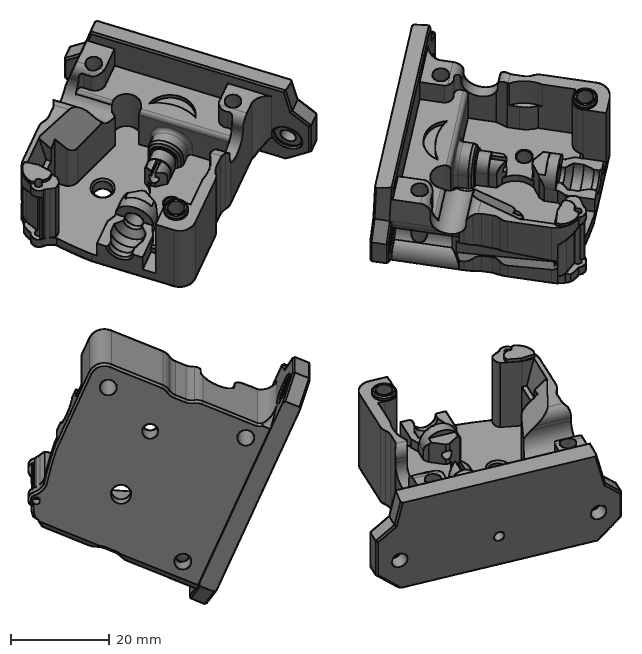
import cadquery as cq
import math

WALL_TOP = 19.6
PAD_TOP = 20.4
PLATE_TOP = 22.62
FLOOR = 3.0
RAISED_FLOOR = 4.9
SHELF = 13.9
AXIS_Z = 7.2
TALL = 30.0

PLATE_HALF_X = 53.59 / 2
PLATE_BACK = 26.12
PLATE_FRONT = 22.27
PLATE_CHAMFER = 0.38
BODY_OVERLAP = 0.4
PLATE_TOP_SLOPE = 0.22
PLATE_HOLE_X = 21.7
SCREW_D = 3.4
PLATE_SEAT_D = 6.0
PLATE_SEAT_DEPTH = 0.6
PLATE_SEAT_CHAMFER = 0.35

LEFT_X = -23.24
RIGHT_X = 15.12
FRONT_Y = -16.42
FRONT_LOW_Y = -15.2
WAIST_DEPTH = 1.0
WAIST_REAR = (7.3, 3.9)
WAIST_FRONT = (1.65, -1.6)
CORNER_R = 3.4
WALL_INNER_X = 12.66
BOTTOM_CHAMFER = 0.5
BEVEL_Z = 1.3
SHELF_FRONT = 13.0
SHELF_LEFT_X = -20.75
SHELF_EDGE_R = 1.0

SADDLE_Y = 10.62
SADDLE_R = 3.74
SADDLE_Z = 16.46
SADDLE_LIP_R = 2.25

PIN_X = -18.07
PIN_Y = -15.28
PIN_D = 1.5
PIN_BOSS_R = 43.08 - PLATE_BACK + PIN_Y
EAR_SIDE_Y = -12.0
EAR_SIDE_Z = 13.8
EAR_FOOT_X = -21.66
EAR_FRONT_Z = 17.5

LARGE_HOLE_X = -9.95
LARGE_HOLE_D = 4.1
LARGE_HOLE_RIM_D = 4.95
LARGE_HOLE_RIM_DEPTH = 0.45
SMALL_HOLE_X = 5.0
SMALL_HOLE_D = 3.2
SMALL_HOLE_CHAMFER = 0.15
FLOOR_STEP_R = 5.05
CLEARANCE_R = 8.0
CLEARANCE_Z = 12.3
PEG_Y = 13.64
PEG_D = 6.0
LEFT_SCREW = (-18.46, 17.33)
RIGHT_SCREW = (11.4, 18.4)
PILLAR_HOLE = (10.4, -11.6)
PILLAR_RIM_D = 4.95
PILLAR_RIM_TOP = 20.5
PILLAR_LEFT_X = 7.77

BORE_D = 2.2
BLOCK_TOP = 7.1
BLOCK_HALF_X = 4.97
FLANGE_FRONT = -8.1


def prism(workplane, bottom, top):
    """Extrude a closed XY outline between two heights."""
    return workplane.extrude(top - bottom).translate((0, 0, bottom))


def rod_z(x, y, diameter, bottom, top):
    return cq.Workplane("XY", origin=(x, y, bottom)).circle(diameter / 2).extrude(top - bottom)


def rod_y(x, z, diameter, front, back):
    return cq.Workplane("XZ", origin=(x, back, z)).circle(diameter / 2).extrude(back - front)


def box(x0, x1, y0, y1, z0, z1):
    return cq.Workplane("XY").box(x1 - x0, y1 - y0, z1 - z0, centered=False).translate((x0, y0, z0))


def cone_z(x, y, bottom_r, top_r, bottom, top):
    cone = cq.Solid.makeCone(bottom_r, top_r, top - bottom, cq.Vector(x, y, bottom))
    return cq.Workplane("XY").add(cone)


def turned_y(profile):
    """Revolve a (radius, y) profile about the lengthwise axis."""
    start_y = profile[0][1]
    end_y = profile[-1][1]
    points = [(0, start_y)] + profile + [(0, end_y)]
    return cq.Workplane("XY").polyline(points).close().revolve(360, (0, 0), (0, 1)).translate((0, 0, AXIS_Z))


def turned_on_skirt(profile):
    """Turned shape whose plan silhouette is carried straight down into the floor."""
    mirrored = [(-radius, y) for radius, y in reversed(profile)]
    skirt = prism(cq.Workplane("XY").polyline(profile + mirrored).close(), FLOOR - 1, AXIS_Z)
    return turned_y(profile).union(skirt)


def make_plate():
    outline = [
        (-21.94, 0), (-PLATE_HALF_X, 4.55), (-PLATE_HALF_X, 10.83), (-23.24, 14.09),
        (-21.17, PLATE_TOP), (21.24, PLATE_TOP), (22.68, 16.35), (PLATE_HALF_X, 13.36),
        (PLATE_HALF_X, 4.55), (21.87, 0),
    ]
    plate = cq.Workplane("XZ", origin=(0, PLATE_BACK, 0)).polyline(outline).close()
    plate = plate.extrude(PLATE_BACK - PLATE_FRONT)
    plate = plate.faces("<Y or >Y").edges("not <Z").chamfer(PLATE_CHAMFER)
    drop = (PLATE_BACK - PLATE_FRONT - PLATE_CHAMFER) * PLATE_TOP_SLOPE
    top_wedge = cq.Workplane("YZ").polyline([
        (PLATE_FRONT + PLATE_CHAMFER, PLATE_TOP), (PLATE_BACK, PLATE_TOP - drop), (PLATE_BACK, TALL),
        (PLATE_FRONT + PLATE_CHAMFER, TALL),
    ]).close().extrude(PLATE_HALF_X, both=True)
    return plate.cut(top_wedge)


def waist_curve(outline, start_x, end_x, span):
    """S-shaped pair of arcs between the wall and its waist."""
    start_y, end_y = span
    middle = ((start_x + end_x) / 2, (start_y + end_y) / 2)
    step_x = (end_x - start_x) / 8
    step_y = (end_y - start_y) / 4
    return (
        outline.lineTo(start_x, start_y)
        .threePointArc((start_x + step_x, start_y + step_y), middle)
        .threePointArc((end_x - step_x, end_y - step_y), (end_x, end_y))
    )


def body_outline():
    waist_left = LEFT_X + WAIST_DEPTH
    waist_right = RIGHT_X - WAIST_DEPTH
    corner = CORNER_R * (1 - math.sqrt(0.5))
    outline = cq.Workplane("XY").moveTo(LEFT_X, PLATE_FRONT + BODY_OVERLAP)
    outline = waist_curve(outline, LEFT_X, waist_left, WAIST_REAR)
    outline = waist_curve(outline, waist_left, LEFT_X, WAIST_FRONT)
    outline = (
        outline.lineTo(LEFT_X, -10.7)
        .threePointArc((-22.1, -13.9), (-19.6, -15.75))
        .threePointArc((PIN_X, PIN_Y - PIN_BOSS_R), (-16.9, -16.57))
        .threePointArc((-15.5, -15.55), (-14.14, FRONT_LOW_Y))
        .threePointArc((-9.6, -16.0), (-6.05, FRONT_Y))
        .lineTo(RIGHT_X - CORNER_R, FRONT_Y)
        .threePointArc((RIGHT_X - corner, FRONT_Y + corner), (RIGHT_X, FRONT_Y + CORNER_R))
    )
    outline = waist_curve(outline, RIGHT_X, waist_right, WAIST_FRONT[::-1])
    outline = waist_curve(outline, waist_right, RIGHT_X, WAIST_REAR[::-1])
    return (
        outline.lineTo(RIGHT_X, 19.3)
        .threePointArc((16.05, 21.15), (18.2, PLATE_FRONT))
        .lineTo(18.2, PLATE_FRONT + BODY_OVERLAP)
        .close()
    )


def main_pocket():
    """Pocket in front of the shelf, open to the front between ear and right wall."""
    return prism(
        cq.Workplane("XY").moveTo(WALL_INNER_X, SHELF_FRONT)
        .lineTo(WALL_INNER_X, 7.2).lineTo(11.74, 4.7).lineTo(11.74, 2.3)
        .threePointArc((12.0, 0.2), (WALL_INNER_X, -1.5))
        .lineTo(WALL_INNER_X, FRONT_Y - 2).lineTo(-16.6, FRONT_Y - 2).lineTo(-16.6, -16.2)
        .lineTo(-14.5, -14.95)
        .threePointArc((-14.35, -13.7), (-15.2, -12.3))
        .lineTo(-19.5, -11.2).lineTo(-19.5, -2.2).lineTo(-17.0, -2.1)
        .threePointArc((-16.0, -1.6), (-15.2, -0.35))
        .lineTo(-11.4, 11.1).lineTo(-11.4, SHELF_FRONT).close(),
        FLOOR, TALL)


def shelf_pocket():
    """Space above the shelf, going round the two rear screw posts."""
    return prism(
        cq.Workplane("XY").moveTo(SHELF_LEFT_X, SHELF_FRONT)
        .lineTo(SHELF_LEFT_X, 14.0)
        .threePointArc((-20.4, 14.6), (-19.6, 14.75))
        .lineTo(-18.1, 14.75)
        .threePointArc((-16.5, 15.4), (-15.8, 16.9))
        .lineTo(-15.8, PLATE_FRONT).lineTo(8.8, PLATE_FRONT).lineTo(8.8, 17.2)
        .threePointArc((9.6, 16.0), (11.2, 15.65))
        .threePointArc((12.25, 15.4), (WALL_INNER_X, 14.7))
        .lineTo(WALL_INNER_X, SHELF_FRONT).close(),
        SHELF, TALL)


def shelf_edge_round():
    """Material outside the rounded front edge of the shelf."""
    bend = SHELF_EDGE_R * (1 - math.sqrt(0.5))
    return (
        cq.Workplane("YZ", origin=(SHELF_LEFT_X, 0, 0)).moveTo(SHELF_FRONT, SHELF - SHELF_EDGE_R)
        .threePointArc((SHELF_FRONT + bend, SHELF - bend), (SHELF_FRONT + SHELF_EDGE_R, SHELF))
        .lineTo(SHELF_FRONT, SHELF).close()
        .extrude(WALL_INNER_X - SHELF_LEFT_X)
    )


def saddle():
    """Round-bottomed trough with rounded lips, along X through both walls."""
    front = SADDLE_Y - SADDLE_R
    back = SADDLE_Y + SADDLE_R
    lip_z = WALL_TOP - SADDLE_LIP_R
    bend = SADDLE_LIP_R * (1 - math.sqrt(0.5))
    return (
        cq.Workplane("YZ").moveTo(front - SADDLE_LIP_R, WALL_TOP)
        .threePointArc((front - bend, WALL_TOP - bend), (front, lip_z))
        .lineTo(front, SADDLE_Z)
        .threePointArc((SADDLE_Y, SADDLE_Z - SADDLE_R), (back, SADDLE_Z))
        .lineTo(back, lip_z)
        .threePointArc((back + bend, WALL_TOP - bend), (back + SADDLE_LIP_R, WALL_TOP))
        .close().extrude(TALL, both=True)
        .cut(box(LARGE_HOLE_X, WALL_INNER_X, SHELF_FRONT, back, 0, TALL))
    )


def left_wall_slope():
    """Sloping cut that lowers the inner edge of the left wall."""
    lower_z = 14.0
    angle = math.degrees(math.atan2(7.95, 3.0)) - 90
    width = 6.0
    wedge = cq.Workplane("XZ").polyline([
        (0, WALL_TOP), (width, lower_z), (width + 2, lower_z), (width + 2, WALL_TOP),
    ]).close().extrude(9.5, both=True)
    window = box(-22.15, -11, -4.3, SADDLE_Y, 0, TALL)
    return wedge.rotate((0, 0, 0), (0, 0, 1), angle).translate((-19.0, 4.57, 0)).intersect(window)


def left_wall_notch():
    """Notch in the inner edge of the left wall behind the ear."""
    bottom = 13.0
    return cq.Workplane("XZ", origin=(0, -4.3, 0)).polyline([
        (-22.15, WALL_TOP), (-20.6, bottom), (-19.4, bottom), (-19.4, WALL_TOP),
    ]).close().extrude(6.9)


def left_edge_trims():
    """Bevel under the left wall, and the upper rear part leaning in with the plate edge."""
    bevel = cq.Workplane("XZ", origin=(0, PLATE_FRONT + BODY_OVERLAP, 0)).polyline([
        (LEFT_X - 1, BEVEL_Z + 1), (LEFT_X + BEVEL_Z + 1, -1), (LEFT_X - 1, -1),
    ]).close().extrude(PLATE_FRONT - FRONT_Y + 5)
    lean = cq.Workplane("XZ", origin=(0, PLATE_FRONT + BODY_OVERLAP, 0)).polyline([
        (LEFT_X, 14.3), (-21.9, WALL_TOP), (LEFT_X - 1, WALL_TOP), (LEFT_X - 1, 14.3),
    ]).close().extrude(PLATE_FRONT + BODY_OVERLAP - SADDLE_Y)
    return bevel.union(lean)


def right_edge_trim():
    """Slanted underside of the fillet between right wall and plate."""
    return cq.Workplane("XZ", origin=(0, PLATE_FRONT + BODY_OVERLAP, 0)).polyline([
        (RIGHT_X, 0), (18.3, 5.8), (19, 5.8), (19, -1), (RIGHT_X, -1),
    ]).close().extrude(5)


def side_channel():
    """Screw access in the left wall: a round bottom between rounded lips, then a tapering groove."""
    half_mouth = 5.9
    half_throat = 2.9
    lip_r = half_mouth - half_throat
    throat_x = LEFT_X + lip_r
    bend = lip_r * (1 - math.sqrt(0.5))
    end_y = 8.3
    flare = 2.0
    deep_x = -18.4
    channel = (
        cq.Workplane("XZ", origin=(0, PLATE_FRONT, 0))
        .moveTo(LEFT_X, AXIS_Z - half_mouth)
        .threePointArc((LEFT_X + bend, AXIS_Z - half_throat - bend), (throat_x, AXIS_Z - half_throat))
        .threePointArc((deep_x, AXIS_Z), (throat_x, AXIS_Z + half_throat))
        .threePointArc((LEFT_X + bend, AXIS_Z + half_throat + bend), (LEFT_X, AXIS_Z + half_mouth))
        .close().extrude(PLATE_FRONT - end_y + flare)
    )
    end_slope = prism(cq.Workplane("XY").polyline([
        (LEFT_X - lip_r, end_y - flare), (throat_x, end_y + flare), (deep_x, end_y + flare),
        (deep_x, end_y - flare),
    ]).close(), 0, TALL)
    groove_floor_x = -22.05
    groove = cq.Workplane("YZ", origin=(groove_floor_x, 0, 0)).polyline([
        (9.5, AXIS_Z - 1.9), (9.5, AXIS_Z + 1.9), (-11.1, AXIS_Z + 0.3), (-11.1, AXIS_Z - 0.3),
    ]).close().extrude(-2, taper=-45)
    return channel.cut(end_slope).union(groove)


def crescent():
    """Shallow crescent recess in the shelf."""
    depth = 1.0
    return prism(
        cq.Workplane("XY").moveTo(-5.8, 15.85)
        .threePointArc((-0.77, 19.7), (4.3, 15.85))
        .threePointArc((-0.77, 17.2), (-5.8, 15.85)).close(),
        SHELF - depth, SHELF)


def hinge_pad():
    """Raised pad on top of the ear."""
    return prism(
        cq.Workplane("XY").moveTo(-22.45, -11.5)
        .lineTo(-19.4, -11.25).lineTo(-16.6, -11.95)
        .threePointArc((-16.5, -13.5), (-17.4, -14.5))
        .lineTo(PIN_X, PIN_Y).lineTo(-19.6, -15.75)
        .threePointArc((-21.7, -14.4), (-22.6, -12.4)).close(),
        WALL_TOP, PAD_TOP)


def hinge_gap():
    """Space between the floor of the ear and its sloping upper lug."""
    front_y = FRONT_Y - 1
    back_y = EAR_SIDE_Y
    slope = (EAR_FRONT_Z - EAR_SIDE_Z) / 5.0
    front_z = EAR_SIDE_Z + slope * (back_y - front_y)
    side = cq.Workplane("YZ").polyline([
        (back_y, FLOOR), (front_y, FLOOR), (front_y, front_z), (back_y, EAR_SIDE_Z),
    ]).close().extrude(TALL, both=True)
    plan = prism(
        cq.Workplane("XY").moveTo(-24, EAR_SIDE_Y).lineTo(-22.75, EAR_SIDE_Y)
        .threePointArc((-22.2, -12.8), (-21.4, -13.5))
        .lineTo(PIN_X, PIN_Y + 0.4).lineTo(-17.4, PIN_Y).lineTo(-17.4, -16.5).lineTo(-15, -16.5)
        .lineTo(-15, front_y).lineTo(-24, front_y).close(),
        0, TALL)
    beside_foot = prism(
        cq.Workplane("XY").moveTo(-24, EAR_SIDE_Y).lineTo(-22.75, EAR_SIDE_Y)
        .threePointArc((-22.3, -12.7), (EAR_FOOT_X, -13.3))
        .lineTo(EAR_FOOT_X, front_y).lineTo(-24, front_y).close(),
        -1, FLOOR)
    return side.intersect(plan).union(beside_foot)


def raised_floor():
    """Higher floor on the right, bounded by a round step between boss and flange."""
    step_y = -11.65
    slab = box(-1.3, WALL_INNER_X, step_y, SHELF_FRONT, FLOOR, RAISED_FLOOR)
    slab = slab.edges("<Y and >Z").chamfer(0.5)
    return slab.cut(rod_z(-FLOOR_STEP_R, 0, 2 * FLOOR_STEP_R, 0, TALL))


def right_pillar():
    """Screw pillar in the front right corner with a chamfered locating rim."""
    x, y = PILLAR_HOLE
    pillar = box(PILLAR_LEFT_X, WALL_INNER_X, FRONT_Y, y, FLOOR, WALL_TOP)
    pillar = pillar.union(rod_z(x, y, 2 * (x - PILLAR_LEFT_X), FLOOR, WALL_TOP))
    pillar = pillar.union(box(x, WALL_INNER_X, y, y + 2.5, FLOOR, WALL_TOP))
    pillar = pillar.intersect(prism(body_outline(), 0, WALL_TOP))
    rim = rod_z(x, y, PILLAR_RIM_D, WALL_TOP, PILLAR_RIM_TOP).faces(">Z").edges().chamfer(0.35)
    return pillar.union(rim)


def boss_flare(boss_r):
    """Fillet where the rear boss and its skirt meet the shelf wall."""
    flare = 0.85
    bend = flare * (1 - math.sqrt(0.5))
    half_plan = (
        cq.Workplane("XY").moveTo(0, SHELF_FRONT).lineTo(boss_r + flare, SHELF_FRONT)
        .threePointArc((boss_r + bend, SHELF_FRONT - bend), (boss_r, SHELF_FRONT - flare))
        .lineTo(0, SHELF_FRONT - flare).close()
    )
    turned = half_plan.revolve(360, (0, 0), (0, 1)).translate((0, 0, AXIS_Z))
    side = prism(half_plan.toPending(), FLOOR - 1, AXIS_Z)
    return turned.union(side).union(side.mirror("YZ"))


def rear_boss():
    """Stepped boss on the shelf wall with a wedge tip split by a narrow slot."""
    boss_r = 3.78
    tip_r = 2.55
    steps = [
        (boss_r, SHELF_FRONT + 0.1), (boss_r, 10.0),
        (boss_r - 0.25, 9.35), (3.0, 9.0), (3.0, 8.75), (tip_r, 8.7),
        (tip_r, 6.1), (tip_r - 0.06, 6.0), (tip_r - 0.06, 2.75),
    ]
    wedge = prism(cq.Workplane("XY").polyline([
        (-6, 14), (-6, 4.4), (-tip_r, 4.4), (-0.45, 2.75), (0.45, 2.75), (tip_r, 4.4), (6, 4.4), (6, 14),
    ]).close(), 0, TALL)
    slot = box(-0.45, 0.45, 2, 6.0, AXIS_Z, AXIS_Z + 5)
    return turned_on_skirt(steps).union(boss_flare(boss_r)).intersect(wedge).cut(slot)


def front_block():
    """Bearing block at the front, with a round flange and a flat-topped tip behind it."""
    flange_r = 4.08
    flange_back = -5.75
    tip_y = -2.65
    tip_top = AXIS_Z + 2.87
    flange = turned_on_skirt([(flange_r, FLANGE_FRONT), (flange_r, flange_back)])
    tip_plan = prism(cq.Workplane("XY").polyline([
        (-flange_r, flange_back), (-3.4, -4.65), (-0.4, tip_y),
        (0.4, tip_y), (3.4, -4.65), (flange_r, flange_back),
    ]).close(), 0, tip_top)
    tip = turned_on_skirt([(flange_r, flange_back), (flange_r, tip_y)]).intersect(tip_plan)
    block = prism(cq.Workplane("XY").polyline([
        (-BLOCK_HALF_X, FRONT_Y), (-BLOCK_HALF_X, -10.4), (-flange_r, -8.6), (-flange_r, FLANGE_FRONT),
        (flange_r, FLANGE_FRONT), (flange_r, -8.6), (BLOCK_HALF_X, -10.4), (BLOCK_HALF_X, FRONT_Y),
    ]).close(), FLOOR, BLOCK_TOP)
    return flange.union(tip).union(block)


def bearing_seat():
    """Stepped round seat in the front block, narrowing to the bore."""
    return turned_y([
        (BORE_D / 2, -6.0), (2.0, FLANGE_FRONT), (2.0, -9.05), (3.43, -10.5), (3.43, -12.6),
        (2.55, -14.85), (2.55, -16.0), (3.0, FRONT_Y - 0.05),
    ])


def make_body():
    body = prism(body_outline(), BOTTOM_CHAMFER, WALL_TOP)
    foot = body_outline().extrude(-BOTTOM_CHAMFER, taper=45).translate((0, 0, BOTTOM_CHAMFER))
    body = body.union(foot)
    body = body.cut(main_pocket()).cut(shelf_pocket()).cut(saddle())
    clearance = rod_z(SMALL_HOLE_X, 0, 2 * CLEARANCE_R, CLEARANCE_Z, TALL)
    body = body.cut(clearance.intersect(box(11, 14, -3, 5.5, 0, TALL)))
    cutters = (
        shelf_edge_round(), left_wall_slope(), left_wall_notch(),
        left_edge_trims(), right_edge_trim(), side_channel(),
    )
    for cutter in cutters:
        body = body.cut(cutter)
    body = body.cut(crescent()).cut(rod_z(LARGE_HOLE_X, PEG_Y, PEG_D, FLOOR, TALL))
    body = body.union(hinge_pad()).cut(hinge_gap())
    for addition in (raised_floor(), right_pillar(), rear_boss(), front_block()):
        body = body.union(addition, clean=True)
    return body.cut(bearing_seat())


def drill(part):
    """Screw holes, pin hole, shaft holes and the lengthwise bore."""
    for x, y in (LEFT_SCREW, RIGHT_SCREW, PILLAR_HOLE):
        part = part.cut(rod_z(x, y, SCREW_D, -1, TALL))
    part = part.cut(rod_z(PIN_X, PIN_Y, PIN_D, -1, TALL))
    large_r = LARGE_HOLE_D / 2
    large_rim_z = FLOOR - LARGE_HOLE_RIM_DEPTH
    part = part.cut(rod_z(LARGE_HOLE_X, 0, LARGE_HOLE_D, -1, FLOOR))
    part = part.cut(cone_z(LARGE_HOLE_X, 0, large_r, LARGE_HOLE_RIM_D / 2, large_rim_z, FLOOR))
    small_r = SMALL_HOLE_D / 2
    small_rim_z = RAISED_FLOOR - SMALL_HOLE_CHAMFER
    part = part.cut(rod_z(SMALL_HOLE_X, 0, SMALL_HOLE_D, -1, RAISED_FLOOR))
    part = part.cut(cone_z(SMALL_HOLE_X, 0, small_r, small_r + SMALL_HOLE_CHAMFER, small_rim_z, RAISED_FLOOR))
    part = part.cut(rod_y(0, AXIS_Z, BORE_D, FRONT_Y, PLATE_BACK))
    for x in (-PLATE_HOLE_X, PLATE_HOLE_X):
        part = part.cut(rod_y(x, AXIS_Z, SCREW_D, PLATE_FRONT - 1, PLATE_BACK))
        seat = rod_y(x, AXIS_Z, PLATE_SEAT_D, PLATE_FRONT, PLATE_FRONT + PLATE_SEAT_DEPTH)
        rim = cq.Solid.makeCone(PLATE_SEAT_D / 2 + PLATE_SEAT_CHAMFER, PLATE_SEAT_D / 2, PLATE_SEAT_CHAMFER,
                                cq.Vector(x, PLATE_FRONT, AXIS_Z), cq.Vector(0, 1, 0))
        part = part.cut(seat).cut(cq.Workplane("XY").add(rim))
    return part


result = drill(make_plate().union(make_body()))